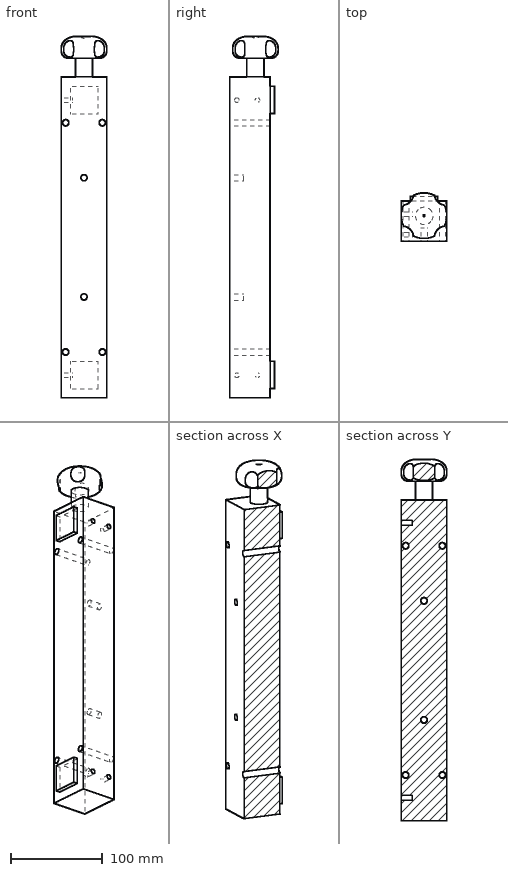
import cadquery as cq
import math

column_width = 50.0
column_depth = 44.0
column_height = 350.0
overall_height = 394.41

stem_diameter = 19.0
stem_to_front = 28.0
knob_radius = 24.94
knob_bottom = 370.2
band_bottom = 378.5
band_top = 381.0

crest_radius = 8.5
shoulder_inset = 3.3
shoulder_height = 389.3
shoulder_slope = 1.1
dimple_depth = 2.1
dimple_slope = 0.6
dimple_floor_radius = 1.0

scallop_count = 4
first_scallop_angle = 45.0
scallop_radius = 13.0
scallop_floor_radius = 21.3

front_y = -stem_to_front
back_y = front_y + column_depth

pad_size = 30.0
pad_thickness = 5.0
pad_end_margin = 10.0

mount_hole_diameter = 6.6
mount_hole_spacing = 40.0
mount_hole_end_margin = 50.0

center_hole_diameter = 6.8
center_hole_depth = 15.0
center_hole_end_margin = 110.0

side_hole_diameter = 5.0
side_hole_depth = 12.0
side_hole_end_margin = 25.0
side_hole_front_offsets = (7.5, 30.0)


def both_ends(margin):
    """Heights at an equal distance from the two ends of the column."""
    return (margin, column_height - margin)


def make_column():
    return cq.Workplane("XY").box(
        column_width, column_depth, column_height, centered=(True, False, False)
    ).translate((0, front_y, 0))


def add_pads(body):
    for z in both_ends(pad_end_margin + pad_size / 2):
        pad = cq.Workplane("XY").box(
            pad_size, pad_thickness, pad_size, centered=(True, False, True)
        )
        body = body.union(pad.translate((0, back_y, z)))
    return body


def drill(body, diameter, depth, start, direction):
    tool = cq.Solid.makeCylinder(diameter / 2, depth, cq.Vector(*start), cq.Vector(*direction))
    return body.cut(cq.Workplane(tool))


def drill_front(body):
    inward = (0, 1, 0)
    for z in both_ends(mount_hole_end_margin):
        for x in (-mount_hole_spacing / 2, mount_hole_spacing / 2):
            body = drill(body, mount_hole_diameter, column_depth, (x, front_y, z), inward)
    for z in both_ends(center_hole_end_margin):
        body = drill(body, center_hole_diameter, center_hole_depth, (0, front_y, z), inward)
    return body


def drill_side(body):
    inward = (1, 0, 0)
    for z in both_ends(side_hole_end_margin):
        for offset in side_hole_front_offsets:
            start = (-column_width / 2, front_y + offset, z)
            body = drill(body, side_hole_diameter, side_hole_depth, start, inward)
    return body


def make_knob():
    lower_round = band_bottom - knob_bottom
    diagonal = math.sqrt(0.5)
    dimple_floor = overall_height - dimple_depth

    profile = (
        cq.Workplane("XZ")
        .moveTo(0, knob_bottom)
        .lineTo(knob_radius - lower_round, knob_bottom)
        .threePointArc(
            (knob_radius - lower_round * (1 - diagonal), band_bottom - lower_round * diagonal),
            (knob_radius, band_bottom),
        )
        .lineTo(knob_radius, band_top)
        .spline(
            [
                (knob_radius - shoulder_inset, shoulder_height),
                (crest_radius, overall_height),
                (dimple_floor_radius, dimple_floor),
            ],
            tangents=[(0, 1), (-1, shoulder_slope), (-1, 0), (-1, -dimple_slope)],
            includeCurrent=True,
        )
        .lineTo(0, dimple_floor)
        .close()
    )
    knob = profile.revolve(360, (0, 0, 0), (0, 1, 0))

    scallops = (
        cq.Workplane("XY", origin=(0, 0, knob_bottom))
        .polarArray(scallop_floor_radius + scallop_radius, first_scallop_angle, 360, scallop_count)
        .circle(scallop_radius)
        .extrude(overall_height - knob_bottom)
    )
    return knob.cut(scallops)


def make_stem():
    return (
        cq.Workplane("XY", origin=(0, 0, column_height))
        .circle(stem_diameter / 2)
        .extrude(knob_bottom - column_height)
    )


column = drill_side(drill_front(add_pads(make_column())))
result = column.union(make_stem()).union(make_knob())